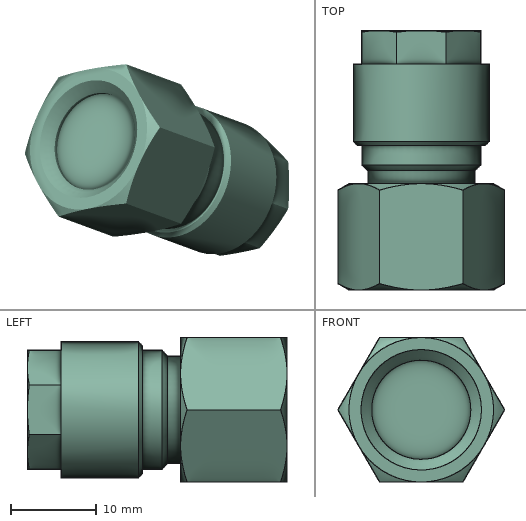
import cadquery as cq
import math

total_length = 30.5
nut_length = 12.5
neck_end = 14.03
collar_cone_end = 14.7
body_start = 17.0
body_end = 26.55

nut_flats = 17.0
neck_diameter = 12.6
collar_diameter = 14.0
body_diameter = 16.0
body_chamfer = 0.5
octagon_flats = collar_diameter

rim_diameter = 14.7
rim_depth = (rim_diameter - collar_diameter) / 2

nut_bevel_angle = 30.0
octagon_bevel_angle = 20.0

mouth_diameter = 14.15
bore_diameter = 11.65
countersink_depth = (mouth_diameter - bore_diameter) / 2
socket_depth = 1.75


def revolve_about_axis(profile):
    """Turn a closed (radius, y) outline around the Y axis."""
    return cq.Workplane("XY").polyline(profile).close().revolve(360, (0, 0, 0), (0, 1, 0))


def prism(sides, flats, start, length, turn):
    """Regular prism along +Y, its first corner turned from +X by the given angle."""
    corner_diameter = flats / math.cos(math.pi / sides)
    return (
        cq.Workplane("XZ", origin=(0, start, 0))
        .polygon(sides, corner_diameter)
        .extrude(-length)
        .rotate((0, 0, 0), (0, 1, 0), turn)
    )


def bevel_drop(sides, flats, angle):
    """Axial height of a conical bevel at the corners of a regular prism."""
    corner_radius = flats / 2 / math.cos(math.pi / sides)
    return (corner_radius - flats / 2) * math.tan(math.radians(angle))


def make_nut():
    """Hexagon nut with conical corner bevels at both ends."""
    sides = 6
    face_radius = nut_flats / 2
    corner_radius = face_radius / math.cos(math.pi / sides)
    drop = bevel_drop(sides, nut_flats, nut_bevel_angle)
    envelope = revolve_about_axis([
        (0, 0),
        (face_radius, 0),
        (corner_radius, drop),
        (corner_radius, nut_length - drop),
        (face_radius, nut_length),
        (0, nut_length),
    ])
    return prism(sides, nut_flats, 0, nut_length, 0).intersect(envelope)


def make_octagon():
    """Octagonal end with a shallow bevel on its outer corners."""
    sides = 8
    face_radius = octagon_flats / 2
    corner_radius = face_radius / math.cos(math.pi / sides)
    drop = bevel_drop(sides, octagon_flats, octagon_bevel_angle)
    envelope = revolve_about_axis([
        (0, body_end),
        (corner_radius, body_end),
        (corner_radius, total_length - drop),
        (face_radius, total_length),
        (0, total_length),
    ])
    half_side_turn = 180 / sides
    blank = prism(sides, octagon_flats, body_end, total_length - body_end, half_side_turn)
    return blank.intersect(envelope)


def make_turned_body():
    """Neck, cone-fronted collar and chamfered round body with a countersunk rim."""
    neck_radius = neck_diameter / 2
    collar_radius = collar_diameter / 2
    body_radius = body_diameter / 2
    return revolve_about_axis([
        (0, nut_length),
        (neck_radius, nut_length),
        (neck_radius, neck_end),
        (collar_radius, collar_cone_end),
        (collar_radius, body_start + rim_depth),
        (rim_diameter / 2, body_start),
        (body_radius - body_chamfer, body_start),
        (body_radius, body_start + body_chamfer),
        (body_radius, body_end),
        (0, body_end),
    ])


def make_socket():
    """Conical mouth leading into a flat-bottomed bore."""
    bore_radius = bore_diameter / 2
    return revolve_about_axis([
        (0, 0),
        (mouth_diameter / 2, 0),
        (bore_radius, countersink_depth),
        (bore_radius, socket_depth),
        (0, socket_depth),
    ])


result = make_nut().union(make_turned_body()).union(make_octagon()).cut(make_socket())